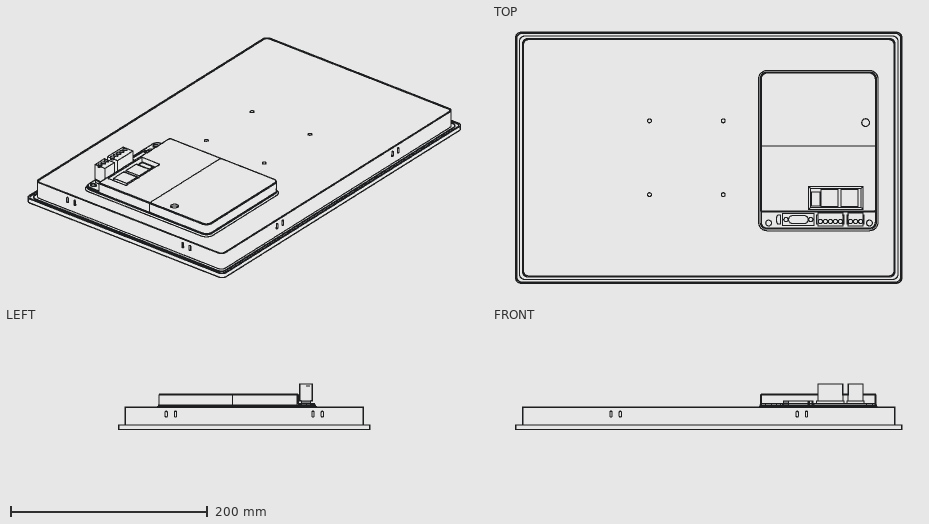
import cadquery as cq

PANEL_LENGTH = 392.5
PANEL_WIDTH = 255.0
PANEL_THICKNESS = 4.7
PANEL_CORNER = 5.5

GROOVE_OUTER_MARGIN = 1.0
GROOVE_INNER_MARGIN = 4.0
GROOVE_DEPTH = 0.8

HOUSING_LENGTH = 378.5
HOUSING_WIDTH = 242.0
HOUSING_BACK = 22.5
HOUSING_CORNER = 5.5
RIM_WIDTH = 1.0
RIM_RISE = 0.5

MOUNT_PITCH = 75.0
MOUNT_CENTRE_X = -22.8
MOUNT_DIAMETER = 4.0
MOUNT_DEPTH = 6.0

SLOT_WIDTH = 2.5
SLOT_HEIGHT = 6.0
SLOT_DEPTH = 2.0
SLOT_Z = 15.7
SLOT_PITCH = 9.5
LONG_SIDE_PAIR_X = 94.5
SHORT_SIDE_PAIR_Y = 74.5

TRAY_LEFT = 52.2
TRAY_RIGHT = 170.5
TRAY_FRONT = -72.5
TRAY_BACK = 87.0
TRAY_LENGTH = TRAY_RIGHT - TRAY_LEFT
TRAY_WIDTH = TRAY_BACK - TRAY_FRONT
TRAY_X = (TRAY_LEFT + TRAY_RIGHT) / 2
TRAY_Y = (TRAY_FRONT + TRAY_BACK) / 2
TRAY_CORNER = 7.0
FLANGE_MARGIN = 1.5
FLANGE_HEIGHT = 1.5
FLANGE_FOOT = 0.08
TRAY_TOP = 25.0
SHELF_TOP = 26.3
SHELF_MARGIN = 1.0
BOX_MARGIN = 0.5
BOX_FRONT = -55.0
BOX_TOP = 36.0
BOX_CHAMFER = 0.8
FRONT_CORNER_CHAMFER = 1.0

COVER_SPLIT_Y = 11.8
KNOB_X = 159.5
KNOB_Y = 35.7
KNOB_DIAMETER = 8.0
KNOB_DEPTH = 2.0

SHELF_HOLE_XS = (61.0, 163.3)
SHELF_HOLE_Y = -66.5
SHELF_HOLE_DIAMETER = 6.0
SHELF_POCKET_DEPTH = 1.5
KEY_SLOT_X = 71.0
KEY_SLOT_WIDTH = 4.0
KEY_SLOT_LENGTH = 9.5
KEY_SLOT_CORNER = 2.5

RECESS_CENTRE_X = 129.0
RECESS_CENTRE_Y = -41.0
RECESS_LENGTH = 55.5
RECESS_WIDTH = 23.0
RECESS_DEPTH = 4.0
RECESS_SLOPE = 2.0
NETWORK_PORT_XS = (123.0, 143.0)
NETWORK_PORT_Y = -41.0
NETWORK_PORT_LENGTH = 17.3
NETWORK_PORT_WIDTH = 17.3
NETWORK_PORT_RISE = 2.7
USB_X = 108.7
USB_Y = -42.0
USB_LENGTH = 8.2
USB_WIDTH = 14.5
USB_RISE = 0.8

CONNECTOR_Y = -62.8
CONNECTOR_SEAT = 29.0

PLUGS = ((123.5, 5), (149.0, 3))
PLUG_TOP = 46.5
PLUG_WIDTH = 13.0
POLE_PITCH = 5.0
POLE_DIAMETER = 4.5
POLE_DEPTH = 2.0
POLE_OFFSET_Y = -2.0
HEADER_MARGIN = 1.0
HEADER_WIDTH = 9.5

SERIAL_X = 91.0
SERIAL_PLATE_LENGTH = 31.8
SERIAL_PLATE_WIDTH = 12.5
SERIAL_PLATE_THICKNESS = 0.8
SERIAL_POCKET_DEPTH = 2.0
SHELL_LENGTH = 19.5
SHELL_WIDTH = 8.0
SHELL_CORNER = 3.5
STANDOFF_PITCH = 25.0
STANDOFF_DIAMETER = 4.7
HEXAGON_SIDES = 6


def slab(length, width, bottom, top, x=0.0, y=0.0):
    """Rectangular slab centred on (x, y) between two heights."""
    return (
        cq.Workplane("XY", origin=(x, y, bottom))
        .rect(length, width)
        .extrude(top - bottom)
    )


def disc(diameter, bottom, top, x, y):
    """Upright cylinder centred on (x, y) between two heights."""
    return cq.Workplane("XY", origin=(x, y, bottom)).circle(diameter / 2).extrude(top - bottom)


def half_space(y, below):
    """Slab over the whole box that lies on one side of a Y position."""
    side = -1 if below else 1
    return slab(PANEL_LENGTH, PANEL_WIDTH, 0, PLUG_TOP, 0, y + side * PANEL_WIDTH / 2)


def inset_panel_slab(margin, bottom, top):
    """Rounded slab whose sides lie a margin inside the panel outline."""
    outline = slab(PANEL_LENGTH - 2 * margin, PANEL_WIDTH - 2 * margin, bottom, top)
    return outline.edges("|Z").fillet(PANEL_CORNER)


def make_panel():
    panel = inset_panel_slab(0, 0, PANEL_THICKNESS)
    groove_floor = PANEL_THICKNESS - GROOVE_DEPTH
    groove = inset_panel_slab(GROOVE_OUTER_MARGIN, groove_floor, PANEL_THICKNESS)
    groove = groove.cut(inset_panel_slab(GROOVE_INNER_MARGIN, groove_floor, PANEL_THICKNESS))
    return panel.cut(groove)


def clip_slot(plane, x, y):
    """Round-ended upright slot, reaching its depth to both sides of a housing wall."""
    return (
        cq.Workplane(plane, origin=(x, y, SLOT_Z))
        .slot2D(SLOT_HEIGHT, SLOT_WIDTH, 90)
        .extrude(SLOT_DEPTH, both=True)
    )


def make_housing():
    rim_top = HOUSING_BACK + RIM_RISE
    housing = slab(HOUSING_LENGTH, HOUSING_WIDTH, PANEL_THICKNESS, rim_top)
    housing = housing.edges("|Z").fillet(HOUSING_CORNER)
    inside_rim = slab(HOUSING_LENGTH - 2 * RIM_WIDTH, HOUSING_WIDTH - 2 * RIM_WIDTH, HOUSING_BACK, rim_top)
    housing = housing.cut(inside_rim.edges("|Z").fillet(HOUSING_CORNER - RIM_WIDTH))

    mounts = (
        cq.Workplane("XY", origin=(MOUNT_CENTRE_X, 0, HOUSING_BACK - MOUNT_DEPTH))
        .rarray(MOUNT_PITCH, MOUNT_PITCH, 2, 2)
        .circle(MOUNT_DIAMETER / 2)
        .extrude(MOUNT_DEPTH)
    )
    housing = housing.cut(mounts)

    for side in (-1, 1):
        for pair in (-1, 1):
            for shift in (-SLOT_PITCH / 2, SLOT_PITCH / 2):
                long_side_x = pair * LONG_SIDE_PAIR_X + shift
                short_side_y = pair * SHORT_SIDE_PAIR_Y + shift
                housing = housing.cut(clip_slot("XZ", long_side_x, side * HOUSING_WIDTH / 2))
                housing = housing.cut(clip_slot("YZ", side * HOUSING_LENGTH / 2, short_side_y))
    return housing


def inset_tray_slab(margin, bottom, top):
    """Rounded slab whose sides lie a margin inside the tray outline."""
    outline = slab(TRAY_LENGTH - 2 * margin, TRAY_WIDTH - 2 * margin, bottom, top, TRAY_X, TRAY_Y)
    return outline.edges("|Z").fillet(TRAY_CORNER - margin)


def make_tray():
    """Base of the box with its sloped flange and the plate that forms the shelf."""
    tray = inset_tray_slab(0, HOUSING_BACK, TRAY_TOP)
    flange = inset_tray_slab(-FLANGE_MARGIN, HOUSING_BACK, HOUSING_BACK + FLANGE_HEIGHT)
    flange = flange.faces(">Z").chamfer(FLANGE_HEIGHT - FLANGE_FOOT, FLANGE_MARGIN)
    shelf = inset_tray_slab(SHELF_MARGIN, TRAY_TOP, SHELF_TOP)
    shelf = shelf.intersect(half_space(BOX_FRONT, below=True))
    return tray.union(flange).union(shelf)


def make_raised_part():
    """Whole raised part of the box, before it is split into box and cover."""
    raised = inset_tray_slab(BOX_MARGIN, TRAY_TOP, BOX_TOP)
    raised = raised.intersect(half_space(BOX_FRONT, below=False))
    raised = raised.edges("|Z and <Y").chamfer(FRONT_CORNER_CHAMFER)
    return raised.faces(">Z").chamfer(BOX_CHAMFER)


def port_recess():
    """Recess with sloped walls that narrows toward its floor."""
    return (
        cq.Workplane("XY", origin=(RECESS_CENTRE_X, RECESS_CENTRE_Y, BOX_TOP))
        .rect(RECESS_LENGTH, RECESS_WIDTH)
        .workplane(offset=-RECESS_DEPTH)
        .rect(RECESS_LENGTH - 2 * RECESS_SLOPE, RECESS_WIDTH - 2 * RECESS_SLOPE)
        .loft()
    )


def key_slot():
    """Pocket in the shelf with a rounded left side."""
    slot = slab(
        KEY_SLOT_WIDTH, KEY_SLOT_LENGTH, SHELF_TOP - SHELF_POCKET_DEPTH, SHELF_TOP, KEY_SLOT_X, CONNECTOR_Y
    )
    return slot.edges("|Z and <X").fillet(KEY_SLOT_CORNER)


def plug_length(poles):
    return poles * POLE_PITCH


def make_box():
    box = make_tray().union(make_raised_part().intersect(half_space(COVER_SPLIT_Y, below=True)))

    box = box.cut(port_recess())
    floor = BOX_TOP - RECESS_DEPTH
    for x in NETWORK_PORT_XS:
        port_top = floor + NETWORK_PORT_RISE
        port = slab(NETWORK_PORT_LENGTH, NETWORK_PORT_WIDTH, floor, port_top, x, NETWORK_PORT_Y)
        box = box.union(port)
    box = box.union(slab(USB_LENGTH, USB_WIDTH, floor, floor + USB_RISE, USB_X, USB_Y))

    for x in SHELF_HOLE_XS:
        hole = disc(SHELF_HOLE_DIAMETER, SHELF_TOP - SHELF_POCKET_DEPTH, SHELF_TOP, x, SHELF_HOLE_Y)
        box = box.cut(hole)
    box = box.cut(key_slot())
    pocket_floor = SHELF_TOP - SERIAL_POCKET_DEPTH
    box = box.cut(
        slab(SERIAL_PLATE_LENGTH, SERIAL_PLATE_WIDTH, pocket_floor, SHELF_TOP, SERIAL_X, CONNECTOR_Y)
    )

    for x, poles in PLUGS:
        header_length = plug_length(poles) + 2 * HEADER_MARGIN
        header = slab(header_length, HEADER_WIDTH, SHELF_TOP, CONNECTOR_SEAT, x, CONNECTOR_Y)
        box = box.union(header)
    return box


def make_cover():
    cover = make_raised_part().intersect(half_space(COVER_SPLIT_Y, below=False))
    return cover.cut(disc(KNOB_DIAMETER, BOX_TOP - KNOB_DEPTH, BOX_TOP, KNOB_X, KNOB_Y))


def make_serial_connector():
    plate_bottom = SHELF_TOP - SERIAL_POCKET_DEPTH
    plate_top = plate_bottom + SERIAL_PLATE_THICKNESS
    plate = slab(SERIAL_PLATE_LENGTH, SERIAL_PLATE_WIDTH, plate_bottom, plate_top, SERIAL_X, CONNECTOR_Y)
    shell = slab(SHELL_LENGTH, SHELL_WIDTH, plate_top, CONNECTOR_SEAT, SERIAL_X, CONNECTOR_Y)
    shell = shell.edges("|Z").fillet(SHELL_CORNER)
    standoffs = (
        cq.Workplane("XY", origin=(SERIAL_X, CONNECTOR_Y, plate_top))
        .rarray(STANDOFF_PITCH, 4, 2, 1)
        .polygon(HEXAGON_SIDES, STANDOFF_DIAMETER)
        .extrude(CONNECTOR_SEAT - plate_top)
    )
    return plate.union(shell).union(standoffs)


def make_plug(x, poles):
    plug = slab(plug_length(poles), PLUG_WIDTH, CONNECTOR_SEAT, PLUG_TOP, x, CONNECTOR_Y)
    pole_holes = (
        cq.Workplane("XY", origin=(x, CONNECTOR_Y + POLE_OFFSET_Y, PLUG_TOP - POLE_DEPTH))
        .rarray(POLE_PITCH, 4, poles, 1)
        .circle(POLE_DIAMETER / 2)
        .extrude(POLE_DEPTH)
    )
    return plug.cut(pole_holes)


panel = make_panel()
housing = make_housing()
box = make_box()
cover = make_cover()
serial_connector = make_serial_connector()
plugs = [make_plug(x, poles).val() for x, poles in PLUGS]

result = cq.Compound.makeCompound(
    [panel.val(), housing.val(), box.val(), cover.val(), serial_connector.val(), *plugs]
)